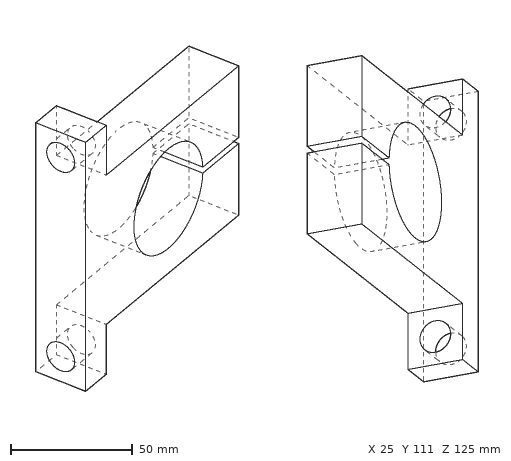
import cadquery as cq

width = 25.0
base_height = 125.0
base_thickness = 15.0
total_depth = 111.0
clamp_height = 75.0
bore_diameter = 50.0
bore_distance = 60.0
slit_width = 3.0
bolt_diameter = 14.0
bolt_spacing = 100.0


def block(depth, height, start_y=0.0):
    """Full-width block centred on X and Z, extending along +Y from start_y."""
    return (
        cq.Workplane("XY")
        .box(width, depth, height, centered=(True, False, True))
        .translate((0, start_y, 0))
    )


body = block(base_thickness, base_height).union(block(total_depth, clamp_height))

bore = (
    cq.Workplane("YZ")
    .center(bore_distance, 0)
    .circle(bore_diameter / 2)
    .extrude(width / 2, both=True)
)

slit = block(total_depth - bore_distance, slit_width, bore_distance)

bolt_holes = (
    cq.Workplane("XZ")
    .pushPoints([(0, -bolt_spacing / 2), (0, bolt_spacing / 2)])
    .circle(bolt_diameter / 2)
    .extrude(-base_thickness)
)

result = body.cut(bore).cut(slit).cut(bolt_holes)